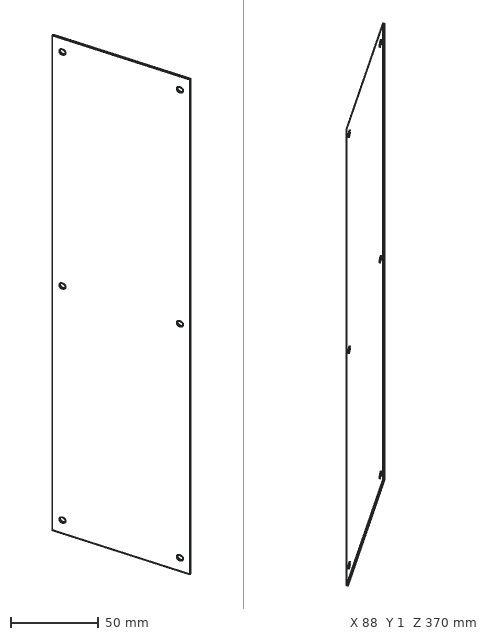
import cadquery as cq

plate_width = 88.0
plate_thickness = 1.0
plate_height = 370.0

hole_diameter = 4.0
hole_column_spacing = 75.0
hole_row_spacing = 175.0
hole_columns = 2
hole_rows = 3

plate = cq.Workplane("XY").box(plate_width, plate_thickness, plate_height)

result = (
    plate.faces("<Y")
    .workplane(centerOption="CenterOfBoundBox")
    .rarray(hole_column_spacing, hole_row_spacing, hole_columns, hole_rows)
    .hole(hole_diameter)
)